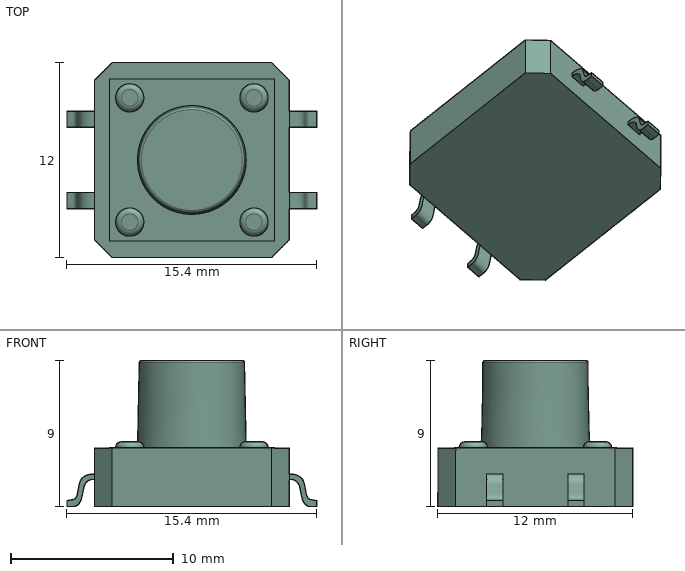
import cadquery as cq

HOUSING_SIZE = 12.0
HOUSING_HEIGHT = 3.6
CORNER_CHAMFER = 1.1
FRONT_FACE_LEAN = 0.01

COVER_LENGTH = 10.14
COVER_WIDTH = 9.95
COVER_TOP = 3.65

PLUNGER_TOP = 9.0
PLUNGER_BASE_RADIUS = 3.35
PLUNGER_TOP_RADIUS = 3.24
PLUNGER_EDGE_RADIUS = 0.14

RIVET_SPACING = 7.64
RIVET_RADIUS = 0.87
RIVET_TOP = 4.0
RIVET_EDGE_RADIUS = 0.36

TERMINAL_SPAN = 15.37
TERMINAL_WIDTH = 1.0
TERMINAL_SPACING = 5.0
SHOULDER_TOP = 2.0
SHOULDER_THICKNESS = 0.34
FOOT_THICKNESS = 0.38
FOOT_HEEL_REACH = 1.3
UPPER_BENDS = [(0.45, 1.95), (0.82, 1.67), (0.97, 1.18), (1.06, 0.72), (1.15, 0.53), (1.38, 0.42)]
LOWER_BENDS = [(0.38, 1.59), (0.60, 1.32), (0.72, 0.84), (0.83, 0.36), (1.02, 0.10)]


def make_housing():
    """Chamfered block whose front face leans out slightly toward the base."""
    half = HOUSING_SIZE / 2
    foot_y = -half - FRONT_FACE_LEAN
    side_outline = [(-half, HOUSING_HEIGHT), (foot_y, 0), (half, 0), (half, HOUSING_HEIGHT)]
    block = cq.Workplane("YZ").polyline(side_outline).close().extrude(half, both=True)
    return block.faces("<X or >X").edges("not |Y").chamfer(CORNER_CHAMFER)


def make_cover():
    """Thin rectangular plate lying on the housing."""
    plate = cq.Workplane("XY", origin=(0, 0, HOUSING_HEIGHT))
    return plate.rect(COVER_LENGTH, COVER_WIDTH).extrude(COVER_TOP - HOUSING_HEIGHT)


def make_plunger():
    """Tapered round plunger with a rounded top edge."""
    outline = (
        cq.Workplane("XZ")
        .moveTo(0, HOUSING_HEIGHT)
        .lineTo(PLUNGER_BASE_RADIUS, HOUSING_HEIGHT)
        .lineTo(PLUNGER_TOP_RADIUS, PLUNGER_TOP)
        .lineTo(0, PLUNGER_TOP)
        .close()
    )
    plunger = outline.revolve(360, (0, 0, 0), (0, 1, 0))
    return plunger.faces(">Z").edges().fillet(PLUNGER_EDGE_RADIUS)


def make_rivets():
    """Four flat-topped rivet heads with a rounded rim."""
    heads = (
        cq.Workplane("XY", origin=(0, 0, HOUSING_HEIGHT))
        .rect(RIVET_SPACING, RIVET_SPACING, forConstruction=True)
        .vertices()
        .circle(RIVET_RADIUS)
        .extrude(RIVET_TOP - HOUSING_HEIGHT)
    )
    return heads.faces(">Z").edges().fillet(RIVET_EDGE_RADIUS)


def make_terminal():
    """One S-bent terminal on the +X side, centred on Y = 0."""
    side = HOUSING_SIZE / 2
    tip = TERMINAL_SPAN / 2
    shoulder_bottom = (side, SHOULDER_TOP - SHOULDER_THICKNESS)
    upper_points = [(side + reach, z) for reach, z in UPPER_BENDS]
    lower_points = [(side + reach, z) for reach, z in reversed(LOWER_BENDS)]
    outline = (
        cq.Workplane("XZ")
        .moveTo(side, SHOULDER_TOP)
        .spline(upper_points + [(tip, FOOT_THICKNESS)], includeCurrent=True)
        .lineTo(tip, 0)
        .lineTo(side + FOOT_HEEL_REACH, 0)
        .spline(lower_points + [shoulder_bottom], includeCurrent=True)
        .close()
    )
    return outline.extrude(TERMINAL_WIDTH).translate((0, TERMINAL_WIDTH / 2, 0))


def make_terminals():
    """Two terminals on each X side."""
    right = make_terminal()
    pair = right.union(right.mirror("YZ"))
    offset = TERMINAL_SPACING / 2
    return pair.translate((0, offset, 0)).union(pair.translate((0, -offset, 0)))


result = (
    make_housing()
    .union(make_cover())
    .union(make_plunger())
    .union(make_rivets())
    .union(make_terminals())
)